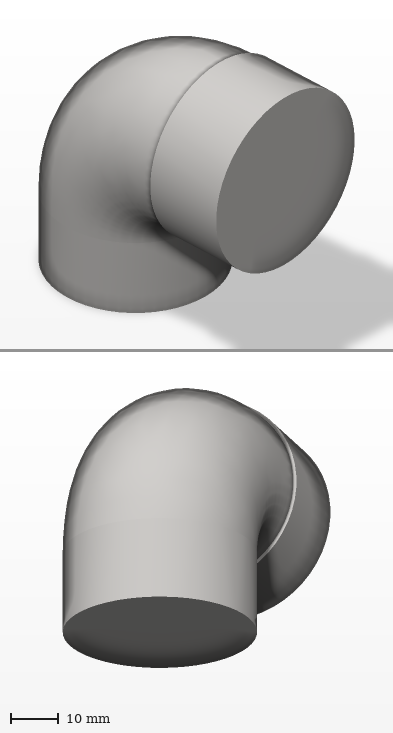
import cadquery as cq

pipe_diameter = 40.5
collar_diameter = 41.95
bend_radius = 21.95
leg_length = 17.6
collar_length = 18.9
total_length = 63.25

pipe_radius = pipe_diameter / 2
neck_length = total_length - pipe_radius - bend_radius - collar_length
outlet_height = leg_length + bend_radius
collar_start = bend_radius + neck_length


def vertical_leg():
    return cq.Workplane("XY").circle(pipe_radius).extrude(leg_length)


def bend():
    """Quarter torus from the top of the leg to the horizontal outlet."""
    return (
        cq.Workplane("XY", origin=(0, 0, leg_length))
        .circle(pipe_radius)
        .revolve(90, (bend_radius, 0, 0), (bend_radius, 1, 0))
    )


def outlet_cylinder(start_x, diameter, length):
    """Cylinder on the horizontal outlet axis, running toward +X."""
    return (
        cq.Workplane("YZ", origin=(start_x, 0, outlet_height))
        .circle(diameter / 2)
        .extrude(length)
    )


neck = outlet_cylinder(bend_radius, pipe_diameter, neck_length)
collar = outlet_cylinder(collar_start, collar_diameter, collar_length)

result = vertical_leg().union(bend()).union(neck).union(collar)